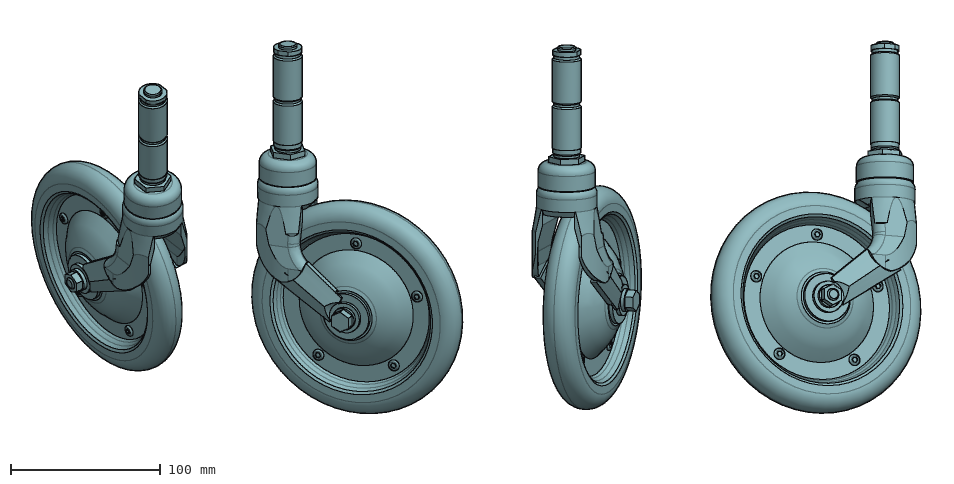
import cadquery as cq
import math


WHEEL_R = 75.0
TYRE_HALF_WIDTH = 11.0
TYRE_RING_R = WHEEL_R - TYRE_HALF_WIDTH
TYRE_INNER_R = 58.4
RIM_LIP_R = 56.5
RIM_LIP_DROP = 1.3
RIM_STEP_R = 54.8
RIM_STEP_Y = 5.6
WEB_R = 52.5
WEB_HALF = 1.8
DOME_R = 41.0
DOME_MID_R = 31.5
DOME_MID_Y = 10.5
HUB_R = 20.2
HUB_Y = 16.5
HUB_STEP_R = 17.7
HUB_STEP_Y = 17.7
FLANGE_R = 16.0
FLANGE_Y = 20.2

SCREW_COUNT = 5
SCREW_CIRCLE_R = 46.0
SCREW_R = 3.8
SCREW_HEIGHT = 1.5
SCREW_FILLET = 1.0
SOCKET_ACROSS = 3.8
SOCKET_DEPTH = 1.0

AXLE_R = 4.0
AXLE_BACK_Y = 31.2
AXLE_FRONT_Y = -31.7
AXLE_TIP_CHAMFER = 1.0
NUT_CORNER_R = 7.2
NUT_BASE_Y = 25.3
NUT_FRONT_Y = 30.5
WASHER_R = 7.7
FORK_EYE_Y = 22.8

SWIVEL_X = 50.0
HEAD_R = 20.2
HEAD_TOP_Z = 85.2
HEAD_TOP_R = 18.5
HEAD_EDGE_Z = 80.5
HEAD_ROUND_POINT = (19.7, 83.5)
HEAD_WALL_Z = 72.0
HEAD_BASE_Z = 68.0
HEAD_BASE_R = 18.0
TYRE_GAP = 3.0

LEG_LEFT_X = 34.8
LEG_RIGHT_X = 66.0
LEG_OUTER_Y = 25.9
LEG_EDGE_FILLET = 6.1
LEG_BEND_START = (LEG_LEFT_X, 46.5)
LEG_BEND_MIDDLE = (32.8, 40.0)
KNEE_LEFT = (28.5, 34.8)
KNEE_LOWER_LEFT = (35.5, 23.5)
KNEE_BOTTOM = (44.5, 20.5)
KNEE_LOWER_RIGHT = (58.5, 28.7)
KNEE_RIGHT = (LEG_RIGHT_X, 41.5)

LEG_OUTER_LINE = [(HEAD_R, HEAD_WALL_Z), (23.0, 44.8), (LEG_OUTER_Y, 30.7), (LEG_OUTER_Y, 0)]
LEG_INNER_LINE = [(11.3, 74.2), (11.3, 61.5), (16.6, 42.0), (19.2, 30.7), (19.2, 0)]

OUTER_CURVE_START = (38.5, LEG_OUTER_Y)
OUTER_CURVE_MIDDLE = (55.0, 22.8)
OUTER_CURVE_END = (67.8, 14.8)
INNER_CURVE_START = (43.5, 20.5)
INNER_CURVE_MIDDLE = (55.0, 18.5)
INNER_CURVE_END = (71.7, 11.8)

TAPER_R = 23.3
TAPER_Z = 53.8
KNEE_ENVELOPE_R = 35.8
KNEE_ENVELOPE_Z = 43.5

STRAP_HUB_UPPER = (2.5, 13.3)
STRAP_HUB_LOWER = (11.3, -4.5)
STRAP_KNEE_UPPER = (28.0, 34.5)
STRAP_KNEE_LOWER = (52.5, 22.3)
STRAP_INNER_Y = 17.7
STRAP_EDGE_Y = 22.0
RIDGE_FRACTION = 0.57
HUB_CLEARANCE_R = 18.5
FORK_EYE_R = 10.5
SPOTFACE_FLOOR_R = 11.0
SPOTFACE_TOP_R = 15.4

REACH = 102.5

STEM_R = 9.7
STEM_TOP_Z = 181.0
TIP_R = 6.1
TIP_CHAMFER = 0.8
COLLAR_R = 9.5
COLLAR_HALF_FLATS = 8.7
COLLAR_TOP_Z = 178.7
COLLAR_BASE_Z = 175.4
NECK_R = 8.7
SHOULDER_Z = 172.3
GROOVE_TOP_Z = 143.5
GROOVE_BASE_Z = 140.0
GROOVE_DEPTH = 1.0
SLEEVE_END_Z = 111.9
FOOT_R = 9.5
FOOT_Z = 108.8
HEX_TOP_Z = 106.2
HEX_CORNER_R = 12.3
CAP_TOP_Z = 102.5
CAP_R = 19.2
CAP_FILLET = 6.1
CAP_BASE_Z = 85.8


def disc_y(radius, start_y, end_y):
    """Cylinder on the wheel axis between two Y positions."""
    return cq.Workplane("XZ", origin=(0, start_y, 0)).circle(radius).extrude(start_y - end_y)


def ring(section_r):
    """Torus that follows the middle of the tyre."""
    return cq.Workplane(cq.Solid.makeTorus(TYRE_RING_R, section_r, cq.Vector(0, 0, 0), cq.Vector(0, 1, 0)))


def wheel_blank():
    half = (
        cq.Workplane("XY")
        .moveTo(0, 0)
        .lineTo(TYRE_RING_R, 0)
        .lineTo(TYRE_RING_R, TYRE_HALF_WIDTH)
        .lineTo(TYRE_INNER_R, TYRE_HALF_WIDTH)
        .lineTo(RIM_LIP_R, TYRE_HALF_WIDTH - RIM_LIP_DROP)
        .lineTo(RIM_STEP_R, RIM_STEP_Y)
        .lineTo(WEB_R, WEB_HALF)
        .lineTo(DOME_R, WEB_HALF)
        .threePointArc((DOME_MID_R, DOME_MID_Y), (HUB_R, HUB_Y))
        .lineTo(HUB_STEP_R, HUB_STEP_Y)
        .lineTo(FLANGE_R, HUB_STEP_Y)
        .lineTo(FLANGE_R, FLANGE_Y)
        .lineTo(0, FLANGE_Y)
        .close()
        .revolve(360, (0, 0, 0), (0, 1, 0))
    )
    return half.union(half.mirror("XZ")).union(ring(TYRE_HALF_WIDTH))


def wheel_screw(angle):
    """Socket head standing on the front face of the web."""
    x = SCREW_CIRCLE_R * math.cos(angle)
    z = SCREW_CIRCLE_R * math.sin(angle)
    head = (
        cq.Workplane("XZ", origin=(x, 0, z))
        .circle(SCREW_R)
        .extrude(WEB_HALF + SCREW_HEIGHT)
        .faces("<Y")
        .edges()
        .fillet(SCREW_FILLET)
    )
    socket = (
        cq.Workplane("XZ", origin=(x, -WEB_HALF - SCREW_HEIGHT, z))
        .polygon(6, SOCKET_ACROSS)
        .extrude(-SOCKET_DEPTH)
    )
    return head.cut(socket)


def make_wheel():
    wheel = wheel_blank()
    for index in range(SCREW_COUNT):
        screw = wheel_screw(math.pi / 2 + index * 2 * math.pi / SCREW_COUNT)
        wheel = wheel.union(screw).union(screw.mirror("XZ"))
    return wheel.cut(disc_y(AXLE_R, -FLANGE_Y, FLANGE_Y))


def hex_y(start_y, end_y):
    """Hexagon on the wheel axis with two corners pointing along Z."""
    return (
        cq.Workplane("XZ", origin=(0, start_y, 0))
        .transformed(rotate=(0, 0, 30))
        .polygon(6, 2 * NUT_CORNER_R)
        .extrude(start_y - end_y)
    )


def make_axle():
    shank = disc_y(AXLE_R, AXLE_FRONT_Y, NUT_BASE_Y).faces("<Y").chamfer(AXLE_TIP_CHAMFER)
    front_nut = hex_y(-NUT_FRONT_Y, -NUT_BASE_Y)
    back_head = hex_y(NUT_BASE_Y, AXLE_BACK_Y)
    front_washer = disc_y(WASHER_R, -NUT_BASE_Y, -FORK_EYE_Y)
    back_washer = disc_y(WASHER_R, FORK_EYE_Y, NUT_BASE_Y)
    return shank.union(front_nut).union(back_head).union(front_washer).union(back_washer)


def fork_head():
    return (
        cq.Workplane("XZ")
        .moveTo(0, HEAD_BASE_Z)
        .lineTo(HEAD_BASE_R, HEAD_BASE_Z)
        .lineTo(HEAD_R, HEAD_WALL_Z)
        .lineTo(HEAD_R, HEAD_EDGE_Z)
        .threePointArc(HEAD_ROUND_POINT, (HEAD_TOP_R, HEAD_TOP_Z))
        .lineTo(0, HEAD_TOP_Z)
        .close()
        .revolve(360, (0, 0, 0), (0, 1, 0))
        .translate((SWIVEL_X, 0, 0))
    )


def side_prism(points):
    """Region between the mid-plane and a (y, z) line, extruded along X."""
    outline = [(0, points[0][1])] + points + [(0, points[-1][1])]
    return cq.Workplane("YZ").polyline(outline).close().extrude(REACH)


def plan_prism(start, middle, end):
    """Region under a flat-then-curving (x, y) line, extruded along Z."""
    return (
        cq.Workplane("XY", origin=(0, 0, -REACH / 2))
        .lineTo(0, start[1])
        .lineTo(*start)
        .threePointArc(middle, end)
        .lineTo(end[0], 0)
        .close()
        .extrude(2 * REACH)
    )


def leg_taper():
    """Flaring envelope that blends the legs into the head."""
    return (
        cq.Workplane("XZ")
        .moveTo(0, HEAD_WALL_Z)
        .lineTo(HEAD_R, HEAD_WALL_Z)
        .lineTo(TAPER_R, TAPER_Z)
        .lineTo(KNEE_ENVELOPE_R, KNEE_ENVELOPE_Z)
        .lineTo(KNEE_ENVELOPE_R, 0)
        .lineTo(0, 0)
        .close()
        .revolve(360, (0, 0, 0), (0, 1, 0))
        .translate((SWIVEL_X, 0, 0))
    )


def leg_shank():
    """Curved upper part of the back leg, from the head to the knee."""
    block = (
        cq.Workplane("XZ")
        .moveTo(LEG_LEFT_X, HEAD_WALL_Z)
        .lineTo(*LEG_BEND_START)
        .threePointArc(LEG_BEND_MIDDLE, KNEE_LEFT)
        .threePointArc(KNEE_LOWER_LEFT, KNEE_BOTTOM)
        .threePointArc(KNEE_LOWER_RIGHT, KNEE_RIGHT)
        .lineTo(LEG_RIGHT_X, HEAD_WALL_Z)
        .close()
        .extrude(-2 * LEG_OUTER_Y)
    )
    outer = side_prism(LEG_OUTER_LINE)
    outer = outer.intersect(plan_prism(OUTER_CURVE_START, OUTER_CURVE_MIDDLE, OUTER_CURVE_END))
    inner = side_prism(LEG_INNER_LINE)
    inner = inner.intersect(plan_prism(INNER_CURVE_START, INNER_CURVE_MIDDLE, INNER_CURVE_END))
    shank = block.intersect(outer)
    left_corners = cq.selectors.BoxSelector(
        (KNEE_LEFT[0] - 2.5, LEG_INNER_LINE[-1][0], KNEE_LEFT[1]),
        (LEG_LEFT_X + 2.5, LEG_OUTER_Y + 2.5, HEAD_WALL_Z - 2.5),
    )
    shank = shank.edges(left_corners).fillet(LEG_EDGE_FILLET)
    return shank.intersect(leg_taper()).cut(inner)


def strap_section(upper, lower):
    """Five-sided strap section, ridged outside, between two (x, z) edge points."""
    ridge_x = upper[0] + RIDGE_FRACTION * (lower[0] - upper[0])
    ridge_z = upper[1] + RIDGE_FRACTION * (lower[1] - upper[1])
    corners = [
        cq.Vector(upper[0], STRAP_INNER_Y, upper[1]),
        cq.Vector(upper[0], STRAP_EDGE_Y, upper[1]),
        cq.Vector(ridge_x, LEG_OUTER_Y, ridge_z),
        cq.Vector(lower[0], STRAP_EDGE_Y, lower[1]),
        cq.Vector(lower[0], STRAP_INNER_Y, lower[1]),
    ]
    return cq.Wire.makePolygon(corners, close=True)


def leg_strap():
    """Tapered strap of the back leg, from the knee down to the axle eye."""
    hub_end = strap_section(STRAP_HUB_UPPER, STRAP_HUB_LOWER)
    knee_end = strap_section(STRAP_KNEE_UPPER, STRAP_KNEE_LOWER)
    strap = cq.Workplane(cq.Solid.makeLoft([hub_end, knee_end], True))
    return strap.cut(disc_y(HUB_CLEARANCE_R, 0, FLANGE_Y))


def spotface():
    """Flared recess round the axle eye."""
    return (
        cq.Workplane("XY")
        .moveTo(0, FORK_EYE_Y)
        .lineTo(SPOTFACE_FLOOR_R, FORK_EYE_Y)
        .lineTo(SPOTFACE_TOP_R, LEG_OUTER_Y)
        .lineTo(0, LEG_OUTER_Y)
        .close()
        .revolve(360, (0, 0, 0), (0, 1, 0))
    )


def make_fork():
    leg = leg_shank().union(leg_strap())
    leg = leg.cut(spotface())
    leg = leg.union(disc_y(FORK_EYE_R, FLANGE_Y, FORK_EYE_Y))
    head = fork_head().cut(ring(TYRE_HALF_WIDTH + TYRE_GAP))
    fork = head.union(leg).union(leg.mirror("XZ"))
    return fork.cut(disc_y(AXLE_R, -FORK_EYE_Y, FORK_EYE_Y))


def make_stem():
    groove_r = STEM_R - GROOVE_DEPTH
    stem = (
        cq.Workplane("XZ")
        .moveTo(0, STEM_TOP_Z)
        .lineTo(TIP_R - TIP_CHAMFER, STEM_TOP_Z)
        .lineTo(TIP_R, STEM_TOP_Z - TIP_CHAMFER)
        .lineTo(TIP_R, COLLAR_BASE_Z)
        .lineTo(NECK_R, COLLAR_BASE_Z)
        .lineTo(NECK_R, SHOULDER_Z + GROOVE_DEPTH)
        .lineTo(STEM_R, SHOULDER_Z)
        .lineTo(STEM_R, GROOVE_TOP_Z)
        .lineTo(groove_r, GROOVE_TOP_Z - GROOVE_DEPTH)
        .lineTo(groove_r, GROOVE_BASE_Z + GROOVE_DEPTH)
        .lineTo(STEM_R, GROOVE_BASE_Z)
        .lineTo(STEM_R, SLEEVE_END_Z)
        .lineTo(FOOT_R, SLEEVE_END_Z)
        .lineTo(FOOT_R, FOOT_Z)
        .lineTo(groove_r, FOOT_Z - GROOVE_DEPTH)
        .lineTo(groove_r, CAP_TOP_Z)
        .lineTo(CAP_R - CAP_FILLET, CAP_TOP_Z)
        .radiusArc((CAP_R, CAP_TOP_Z - CAP_FILLET), CAP_FILLET)
        .lineTo(CAP_R, CAP_BASE_Z)
        .lineTo(HEAD_TOP_R, CAP_BASE_Z)
        .lineTo(HEAD_TOP_R, HEAD_TOP_Z)
        .lineTo(0, HEAD_TOP_Z)
        .close()
        .revolve(360, (0, 0, 0), (0, 1, 0))
    )
    collar = cq.Workplane("XY", origin=(0, 0, COLLAR_BASE_Z)).circle(COLLAR_R)
    collar = collar.extrude(COLLAR_TOP_Z - COLLAR_BASE_Z)
    flats = cq.Workplane("XY", origin=(0, 0, COLLAR_BASE_Z)).rect(2 * COLLAR_R, 2 * COLLAR_HALF_FLATS)
    collar = collar.intersect(flats.extrude(COLLAR_TOP_Z - COLLAR_BASE_Z))
    hexagon = cq.Workplane("XY", origin=(0, 0, CAP_TOP_Z)).polygon(6, 2 * HEX_CORNER_R)
    stem = stem.union(collar).union(hexagon.extrude(HEX_TOP_Z - CAP_TOP_Z))
    return stem.translate((SWIVEL_X, 0, 0))


wheel = make_wheel().solids().val()
axle = make_axle().solids().val()
fork = make_fork().solids().val()
stem = make_stem().solids().val()

result = cq.Compound.makeCompound([wheel, axle, fork, stem])